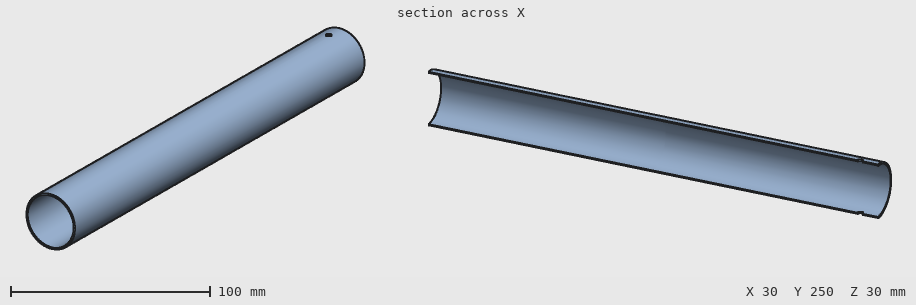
import cadquery as cq

outer_diameter = 30.0
wall_thickness = 1.0
tube_length = 250.0
hole_diameter = 3.0
hole_inset = 10.0

outer_radius = outer_diameter / 2
inner_radius = outer_radius - wall_thickness


def make_tube():
    """Round tube along Y, centred on the origin."""
    return (
        cq.Workplane("XZ")
        .circle(outer_radius)
        .circle(inner_radius)
        .extrude(tube_length / 2, both=True)
    )


def make_cross_hole():
    """Cutter along Z through both walls near the +Y end."""
    hole_y = tube_length / 2 - hole_inset
    return (
        cq.Workplane("XY")
        .center(0, hole_y)
        .circle(hole_diameter / 2)
        .extrude(outer_diameter, both=True)
    )


result = make_tube().cut(make_cross_hole())